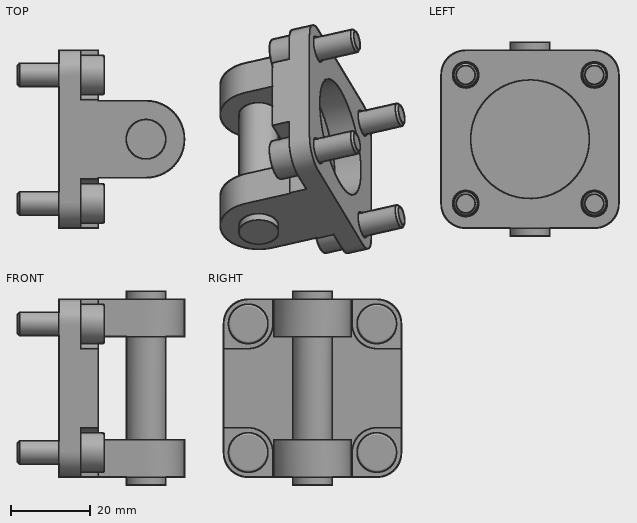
import cadquery as cq
import math

plate_side = 45.0
plate_thickness = 10.0
flange_thickness = 5.5
screw_pitch = 32.5
corner_radius = (plate_side - screw_pitch) / 2
clearance_diameter = 6.6
bore_diameter = 30.0
bore_depth = 7.0

lug_width = 19.5
lug_gap = 26.0
pin_axis_x = 22.0
pin_diameter = 10.0
pin_length = 49.0

shank_diameter = 6.0
shank_length = 15.95
tip_diameter = 4.75
tip_chamfer = (shank_diameter - tip_diameter) / 2
head_diameter = 10.0
head_height = 6.0
head_edge_radius = 0.6

half_pitch = screw_pitch / 2
screw_positions = [(y, z) for y in (-half_pitch, half_pitch) for z in (-half_pitch, half_pitch)]


def make_plate():
    """Rounded square plate, still without holes."""
    return (
        cq.Workplane("YZ")
        .rect(plate_side, plate_side)
        .extrude(plate_thickness)
        .edges("|X")
        .fillet(corner_radius)
    )


def make_corner_recesses():
    """Cutters that open the plate corners around the screw heads."""
    cutter_side = 4 * corner_radius
    outward_shift = cutter_side / 2 - corner_radius
    centers = [
        (y + math.copysign(outward_shift, y), z + math.copysign(outward_shift, z))
        for y, z in screw_positions
    ]
    return (
        cq.Workplane("YZ", origin=(flange_thickness, 0, 0))
        .pushPoints(centers)
        .rect(cutter_side, cutter_side)
        .extrude(plate_thickness)
        .edges("|X")
        .fillet(corner_radius)
    )


def make_lugs():
    """Two round-ended lugs, flush with the top and bottom of the plate."""
    half_width = lug_width / 2
    block = (
        cq.Workplane("XY", origin=(0, 0, -plate_side / 2))
        .moveTo(plate_thickness, -half_width)
        .lineTo(pin_axis_x, -half_width)
        .threePointArc((pin_axis_x + half_width, 0), (pin_axis_x, half_width))
        .lineTo(plate_thickness, half_width)
        .close()
        .extrude(plate_side)
    )
    gap_length = pin_axis_x + lug_width
    gap = (
        cq.Workplane("XY", origin=(plate_thickness, 0, 0))
        .box(gap_length, plate_side, lug_gap, centered=(False, True, True))
    )
    return block.cut(gap)


def make_pin():
    """Cross pin, one piece with the lugs."""
    return (
        cq.Workplane("XY", origin=(pin_axis_x, 0, -pin_length / 2))
        .circle(pin_diameter / 2)
        .extrude(pin_length)
    )


def make_clevis():
    """Plate, lugs and cross pin as one solid."""
    bore = cq.Workplane("YZ").circle(bore_diameter / 2).extrude(bore_depth)
    screw_holes = (
        cq.Workplane("YZ")
        .pushPoints(screw_positions)
        .circle(clearance_diameter / 2)
        .extrude(plate_thickness)
    )
    plate = make_plate().cut(make_corner_recesses()).cut(screw_holes).cut(bore)
    return plate.union(make_lugs()).union(make_pin())


def make_screw(y, z):
    """Cap screw with its head seated on the flange."""
    seat = cq.Workplane("YZ", origin=(flange_thickness, y, z))
    head = (
        seat.circle(head_diameter / 2)
        .extrude(head_height)
        .faces(">X")
        .edges()
        .fillet(head_edge_radius)
    )
    shank = (
        seat.circle(shank_diameter / 2)
        .extrude(-shank_length)
        .faces("<X")
        .edges()
        .chamfer(tip_chamfer)
    )
    return head.union(shank)


clevis = make_clevis()
screws = [make_screw(y, z) for y, z in screw_positions]

result = cq.Compound.makeCompound([clevis.val(), *[screw.val() for screw in screws]])